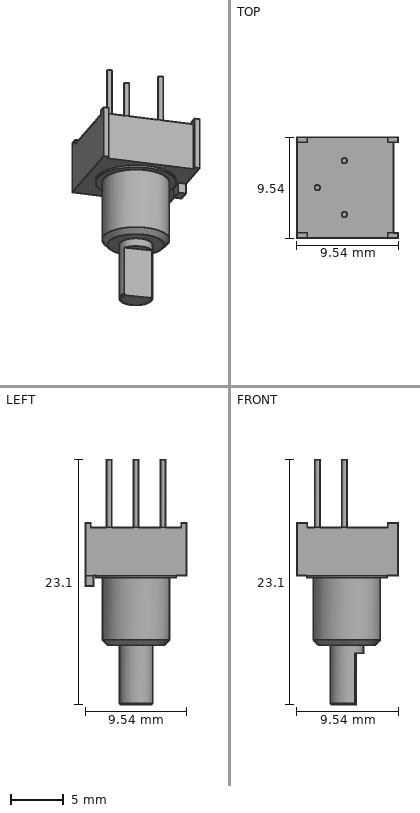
import cadquery as cq

total_height = 23.1
standoff_top = 17.13
standoff_height = 0.42
housing_height = 4.57
flange_thickness = 0.2
bushing_length = 6.35

housing_top = standoff_top - standoff_height
housing_bottom = housing_top - housing_height
flange_bottom = housing_bottom - flange_thickness
bushing_bottom = flange_bottom - bushing_length

housing_side = 9.54
housing_offset_x = 0.07
housing_left = housing_offset_x - housing_side / 2
housing_right = housing_offset_x + housing_side / 2
recess_depth = 0.42

standoff_length = 1.0
standoff_width = 0.5

pin_diameter = 0.5
pin_pitch = 2.55
pin_row_x = -0.23

lug_thickness = 0.76
lug_width = 1.39
lug_height = 0.97

flange_diameter = 7.6
bushing_diameter = 6.35
bushing_chamfer = 0.5
shaft_diameter = 3.16
shaft_chamfer = 0.15

flat_distance = 0.8
flat_top = 4.83
flat_tilt = 3


def box(x_min, x_max, y_min, y_max, z_min, z_max):
    size = (x_max - x_min, y_max - y_min, z_max - z_min)
    return cq.Workplane("XY").box(*size, centered=False).translate((x_min, y_min, z_min))


def cylinder(diameter, z_min, z_max):
    return cq.Workplane("XY", origin=(0, 0, z_min)).circle(diameter / 2).extrude(z_max - z_min)


def make_housing():
    half_side = housing_side / 2
    recess_half_width = half_side - standoff_width
    housing = box(housing_left, housing_right, -half_side, half_side, housing_bottom, standoff_top)
    housing = housing.cut(
        box(housing_left + standoff_length, housing_right - standoff_length,
            -half_side, half_side, housing_top, standoff_top)
    )
    housing = housing.cut(
        box(housing_left, housing_right,
            -recess_half_width, recess_half_width, housing_top, standoff_top)
    )
    return housing.cut(
        box(housing_right - recess_depth, housing_right,
            -recess_half_width, recess_half_width, housing_bottom, standoff_top)
    )


def make_pins():
    places = [(pin_row_x, pin_pitch), (pin_row_x, -pin_pitch), (pin_row_x - pin_pitch, 0)]
    return (
        cq.Workplane("XY", origin=(0, 0, housing_top))
        .pushPoints(places)
        .circle(pin_diameter / 2)
        .extrude(total_height - housing_top)
    )


def make_lug():
    outer_y = housing_side / 2
    return box(-lug_width / 2, lug_width / 2, outer_y - lug_thickness, outer_y,
               housing_bottom - lug_height, housing_bottom)


def make_bushing():
    flange = cylinder(flange_diameter, flange_bottom, housing_bottom)
    bushing = cylinder(bushing_diameter, bushing_bottom, flange_bottom)
    return flange.union(bushing.faces("<Z").chamfer(bushing_chamfer))


def make_shaft():
    shaft = cylinder(shaft_diameter, 0, bushing_bottom).faces("<Z").chamfer(shaft_chamfer)
    flat_cut = box(flat_distance, shaft_diameter, -shaft_diameter, shaft_diameter, 0, flat_top)
    return shaft.cut(flat_cut.rotate((0, 0, 0), (0, 0, 1), -flat_tilt))


result = make_housing().union(make_pins()).union(make_lug()).union(make_bushing()).union(make_shaft())